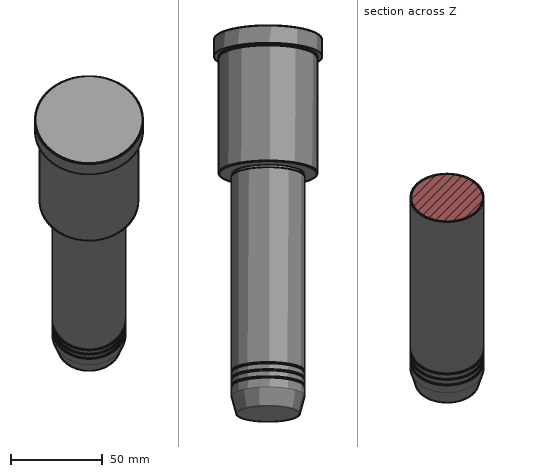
import cadquery as cq
import math

total_length = 211.0
flange_diameter = 59.0
flange_height = 10.0
flange_edge_chamfer = 0.5
body_diameter = 54.0
body_length = 66.0
body_edge_chamfer = 0.5
shaft_diameter = 40.0

shaft_relief_depth = 0.5
shaft_relief_width = 1.5

vee_depth = 0.5
tip_groove_count = 3
tip_groove_pitch = 4.0
first_tip_groove_z = 15.5

tip_length = 10.0
tip_half_angle = 15.0
tip_edge_fillet = 0.5

flange_bottom_z = total_length - flange_height
body_bottom_z = flange_bottom_z - body_length
shaft_radius = shaft_diameter / 2
tip_end_radius = shaft_radius - tip_length * math.tan(math.radians(tip_half_angle))


def disc(diameter, bottom_z, height):
    return cq.Workplane("XY").workplane(offset=bottom_z).circle(diameter / 2).extrude(height)


def revolve_about_z(profile):
    return profile.revolve(360, (0, 0, 0), (0, 1, 0))


def square_ring_cutter(diameter, depth, bottom_z, width):
    """Ring of rectangular section reaching inward from a cylinder of the given diameter."""
    return disc(diameter, bottom_z, width).cut(disc(diameter - 2 * depth, bottom_z, width))


def vee_ring_cutter(diameter, center_z):
    """Ring of triangular section pointing inward from a cylinder of the given diameter."""
    radius = diameter / 2
    section = cq.Workplane("XZ").polyline([
        (radius, center_z - vee_depth),
        (radius - vee_depth, center_z),
        (radius, center_z + vee_depth),
    ])
    return revolve_about_z(section.close())


def make_flange():
    flange = disc(flange_diameter, flange_bottom_z, flange_height)
    return flange.faces(">Z").chamfer(flange_edge_chamfer)


def make_body():
    """Wide cylinder with a chamfered lower edge and a V groove touching the flange."""
    body = disc(body_diameter, body_bottom_z, body_length)
    body = body.faces("<Z").chamfer(body_edge_chamfer)
    return body.cut(vee_ring_cutter(body_diameter, flange_bottom_z - vee_depth))


def make_shaft():
    """Slender cylinder with a relief at its top and ring grooves near the tip."""
    shaft = disc(shaft_diameter, tip_length, body_bottom_z - tip_length)
    relief_z = body_bottom_z - shaft_relief_width
    shaft = shaft.cut(
        square_ring_cutter(shaft_diameter, shaft_relief_depth, relief_z, shaft_relief_width)
    )
    for index in range(tip_groove_count):
        groove_z = first_tip_groove_z + index * tip_groove_pitch
        shaft = shaft.cut(vee_ring_cutter(shaft_diameter, groove_z))
    return shaft


def make_tip():
    """Truncated cone with a rounded end edge."""
    profile = cq.Workplane("XZ").polyline([
        (0, 0),
        (tip_end_radius, 0),
        (shaft_radius, tip_length),
        (0, tip_length),
    ])
    tip = revolve_about_z(profile.close())
    return tip.faces("<Z").edges().fillet(tip_edge_fillet)


result = make_flange().union(make_body()).union(make_shaft()).union(make_tip())